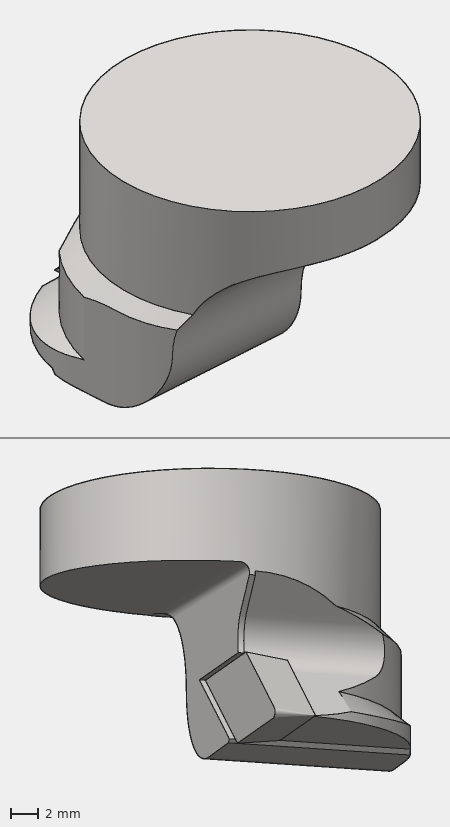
import cadquery as cq
import math

REACH = 30.4

OVERALL_LENGTH = 30.4
OVERALL_HEIGHT = 20.0

SHANK_RADIUS = 12.5
SHANK_END_Z = -9.4
HEAD_RADIUS = 14.0
HEAD_CYLINDER_END_Z = -16.35
HEAD_FLARE_ANGLE = 50.0
HEAD_BOTTOM_Z = -21.28

NOSE_POINT = (-16.25, -3.3)
FLAT_Y = -13.62
FLAT_START_X = -4.25
FLAT_END_X = 0.0
HEEL_POINT = (5.47, -12.28)

THROAT_RADIUS = 7.5
THROAT_TOP_Z = -5.05
CORNER_RADIUS = 6.48
BOTTOM_ANGLE = 2.6

FLUTE_Y = 0.45
FLUTE_ROOF_Z = -6.02
FLUTE_ROOF_SLOPE = 0.08
FLUTE_FILLET = 0.75

NOTCH_TOP_Z = -7.65
NOTCH_FLOOR_Z = HEAD_CYLINDER_END_Z
NOTCH_ROOF_ANGLE = 42.0
INSERT_UPPER_ANGLE = 38.0
NOTCH_RADIUS = 2.9
NOTCH_LIP = 0.33

INSERT_SIDE = 11.25
INSERT_LOWER_ANGLE = 3.0
INSERT_THICKNESS = 3.2
INSERT_RELIEF_ANGLE = 7.0
INSERT_NOSE_RADIUS = 0.4

RELIEF_DEPTH = 0.35
RELIEF_END_X = -6.7


def polar(length, angle):
    """Offset in X and Z for a length at an angle in degrees above +X."""
    return length * math.cos(math.radians(angle)), length * math.sin(math.radians(angle))


def shifted(point, offset):
    return point[0] + offset[0], point[1] + offset[1]


def side_prism(points, start_y, end_y):
    """Prism of an XZ polygon between two Y positions."""
    sketch = cq.Workplane("XZ", origin=(0, end_y, 0)).polyline(points).close()
    return sketch.extrude(end_y - start_y)


def make_round_blank():
    """Shank, 45 degree shoulder and flared head, as one turned shape."""
    shoulder_z = SHANK_END_Z - (HEAD_RADIUS - SHANK_RADIUS)
    flare = (HEAD_CYLINDER_END_Z - HEAD_BOTTOM_Z) * math.tan(math.radians(HEAD_FLARE_ANGLE))
    profile = [
        (0, 0),
        (SHANK_RADIUS, 0),
        (SHANK_RADIUS, SHANK_END_Z),
        (HEAD_RADIUS, shoulder_z),
        (HEAD_RADIUS, HEAD_CYLINDER_END_Z),
        (HEAD_RADIUS + flare, HEAD_BOTTOM_Z),
        (0, HEAD_BOTTOM_Z),
    ]
    return cq.Workplane("XZ").polyline(profile).close().revolve(360, (0, 0, 0), (0, 1, 0))


def arc_middle(far_point, tangent_x):
    """Middle of the arc from a point to the flat, tangent to the flat at tangent_x."""
    run = far_point[0] - tangent_x
    rise = far_point[1] - FLAT_Y
    radius = (run**2 + rise**2) / (2 * rise)
    half_turn = math.atan2(rise, abs(run))
    along = math.copysign(radius * math.sin(half_turn), run)
    return tangent_x + along, FLAT_Y + radius * (1 - math.cos(half_turn))


def make_plan_prism():
    """Upright prism that limits the head."""
    return (
        cq.Workplane("XY")
        .moveTo(*NOSE_POINT)
        .threePointArc(arc_middle(NOSE_POINT, FLAT_START_X), (FLAT_START_X, FLAT_Y))
        .lineTo(FLAT_END_X, FLAT_Y)
        .threePointArc(arc_middle(HEEL_POINT, FLAT_END_X), HEEL_POINT)
        .lineTo(SHANK_RADIUS, HEEL_POINT[1])
        .lineTo(SHANK_RADIUS, SHANK_RADIUS)
        .lineTo(NOSE_POINT[0], SHANK_RADIUS)
        .close()
        .extrude(HEAD_BOTTOM_Z)
    )


THROAT_CENTER = (SHANK_RADIUS, THROAT_TOP_Z - THROAT_RADIUS)
THROAT_END = shifted(THROAT_CENTER, (-THROAT_RADIUS, 0))
CORNER_CENTER = shifted(THROAT_END, (-CORNER_RADIUS, 0))
CORNER_END = shifted(CORNER_CENTER, polar(CORNER_RADIUS, BOTTOM_ANGLE - 90))


def bottom_z(x):
    """Height of the sloping bottom at a given X."""
    return CORNER_END[1] + (x - CORNER_END[0]) * math.tan(math.radians(BOTTOM_ANGLE))


def make_side_envelope():
    """Side profile of the whole holder, extruded along Y."""
    return (
        cq.Workplane("XZ")
        .moveTo(-REACH, 0)
        .lineTo(SHANK_RADIUS, 0)
        .lineTo(SHANK_RADIUS, THROAT_TOP_Z)
        .threePointArc(shifted(THROAT_CENTER, polar(THROAT_RADIUS, 135)), THROAT_END)
        .threePointArc(shifted(CORNER_CENTER, polar(CORNER_RADIUS, -45)), CORNER_END)
        .lineTo(-REACH, bottom_z(-REACH))
        .close()
        .extrude(REACH, both=True)
    )


def make_flute():
    """Space behind the cutting face, under a sloping roof."""
    roof_rise = FLUTE_ROOF_SLOPE * REACH
    points = [
        (-REACH, FLUTE_ROOF_Z - roof_rise),
        (REACH, FLUTE_ROOF_Z + roof_rise),
        (REACH, -REACH),
        (-REACH, -REACH),
    ]
    tool = side_prism(points, FLUTE_Y, REACH)
    return tool.faces("<Y").edges(">Z").fillet(FLUTE_FILLET)


def make_notch(start_y, end_y, shift_x):
    """V-shaped notch with a round root, open toward -X."""
    roof_slope = math.tan(math.radians(NOTCH_ROOF_ANGLE))
    floor_slope = math.tan(math.radians(INSERT_UPPER_ANGLE))
    depth = (NOTCH_TOP_Z - NOTCH_FLOOR_Z) / (roof_slope + floor_slope)
    root_x = -SHANK_RADIUS + depth + shift_x
    root_z = NOTCH_FLOOR_Z + depth * floor_slope
    points = [
        (root_x, root_z),
        (root_x - REACH, root_z + REACH * roof_slope),
        (root_x - REACH, root_z - REACH * floor_slope),
    ]
    return side_prism(points, start_y, end_y).edges("|Y and >X").fillet(NOTCH_RADIUS)


def make_bottom_relief():
    """Shallow step in the bottom under the insert."""
    points = [
        (-REACH, bottom_z(-REACH) + RELIEF_DEPTH),
        (RELIEF_END_X - RELIEF_DEPTH, bottom_z(RELIEF_END_X - RELIEF_DEPTH) + RELIEF_DEPTH),
        (RELIEF_END_X, bottom_z(RELIEF_END_X)),
        (RELIEF_END_X, -REACH),
        (-REACH, -REACH),
    ]
    return side_prism(points, -REACH, REACH)


def find_insert_tip():
    """Sharp corner, in X and Z, whose rounded nose reaches the overall length and height."""
    half_angle = math.radians(INSERT_UPPER_ANGLE - INSERT_LOWER_ANGLE) / 2
    bisector_angle = (INSERT_UPPER_ANGLE + INSERT_LOWER_ANGLE) / 2
    nose_center = (
        SHANK_RADIUS - OVERALL_LENGTH + INSERT_NOSE_RADIUS,
        INSERT_NOSE_RADIUS - OVERALL_HEIGHT,
    )
    return shifted(nose_center, polar(-INSERT_NOSE_RADIUS / math.sin(half_angle), bisector_angle))


def insert_outline():
    """Corners of the insert face: tip, lower, far and upper."""
    tip = find_insert_tip()
    lower = polar(INSERT_SIDE, INSERT_LOWER_ANGLE)
    upper = polar(INSERT_SIDE, INSERT_UPPER_ANGLE)
    lower_corner = shifted(tip, lower)
    upper_corner = shifted(tip, upper)
    return [tip, lower_corner, shifted(lower_corner, upper), upper_corner]


def make_insert():
    """Rhombic insert with relieved sides; the nose rounding tapers almost to a sharp edge."""
    tip, lower_corner, far_corner, upper_corner = insert_outline()
    half_angle = math.radians(INSERT_UPPER_ANGLE - INSERT_LOWER_ANGLE) / 2
    tangent_length = INSERT_NOSE_RADIUS / math.tan(half_angle)
    nose_setback = INSERT_NOSE_RADIUS / math.sin(half_angle) - INSERT_NOSE_RADIUS
    bisector_angle = (INSERT_UPPER_ANGLE + INSERT_LOWER_ANGLE) / 2
    upper_tangent = shifted(tip, polar(tangent_length, INSERT_UPPER_ANGLE))
    lower_tangent = shifted(tip, polar(tangent_length, INSERT_LOWER_ANGLE))
    nose_middle = shifted(tip, polar(nose_setback, bisector_angle))
    outline = (
        cq.Workplane("XZ")
        .moveTo(*lower_tangent)
        .lineTo(*lower_corner)
        .lineTo(*far_corner)
        .lineTo(*upper_corner)
        .lineTo(*upper_tangent)
        .threePointArc(nose_middle, lower_tangent)
        .close()
    )
    return outline.extrude(INSERT_THICKNESS, taper=INSERT_RELIEF_ANGLE)


def make_holder(insert):
    """Shank and head in one piece, with a pocket that fits the insert."""
    shank = cq.Workplane("XY").circle(SHANK_RADIUS).extrude(SHANK_END_Z)
    holder = make_round_blank().intersect(make_plan_prism()).union(shank)
    holder = holder.intersect(make_side_envelope())
    holder = holder.cut(make_flute())
    holder = holder.cut(make_notch(-REACH, 0, 0))
    holder = holder.cut(make_notch(0, REACH, -NOTCH_LIP))
    holder = holder.cut(make_bottom_relief())
    pocket_mouth = side_prism(insert_outline(), 0, FLUTE_Y)
    return holder.cut(insert).cut(pocket_mouth)


insert = make_insert()
holder = make_holder(insert)

result = cq.Compound.makeCompound([*holder.vals(), *insert.vals()])